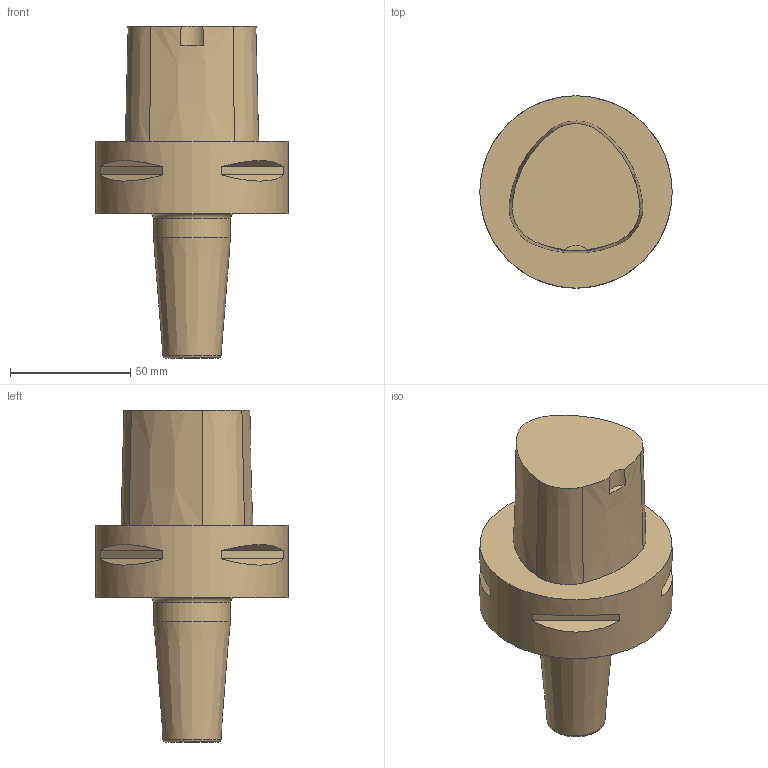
import cadquery as cq
import math

FLANGE_DIAMETER = 80
FLANGE_HEIGHT = 30

SHANK_LENGTH = 48
SHANK_LOBE_REACH = 29.5
SHANK_SIDE_REACH = 25.5
SHANK_LOBE_RADIUS = 17
FIRST_LOBE_ANGLE = 90
SHANK_TAPER_RATIO = 20

KEYWAY_RADIUS = 6.5
KEYWAY_FLOOR_REACH = 22.2
KEYWAY_LENGTH = 8

GROOVE_COUNT = 4
GROOVE_FIRST_ANGLE = 45
GROOVE_DROP = 12.2
GROOVE_FLOOR_REACH = 35.6
GROOVE_FLOOR_WIDTH = 3.45
GROOVE_FLANK_ANGLE = 30

NOSE_LENGTH = 60
NOSE_DIAMETER = 32
NOSE_TIP_DIAMETER = 24
NOSE_STRAIGHT_LENGTH = 10
NOSE_ROOT_FILLET = 2
NOSE_TIP_FILLET = 1
QUARTER_ARC_MIDDLE = 135

FLANGE_RADIUS = FLANGE_DIAMETER / 2
NOSE_RADIUS = NOSE_DIAMETER / 2
NOSE_TIP_RADIUS = NOSE_TIP_DIAMETER / 2
NOSE_TIP_Z = -FLANGE_HEIGHT - NOSE_LENGTH
LOBE_COUNT = 3
LOBE_PITCH = 360 / LOBE_COUNT


def polar(radius, degrees):
    angle = math.radians(degrees)
    return (radius * math.cos(angle), radius * math.sin(angle))


def lobe_joint():
    """Return the distance from the axis, and the angle off the lobe tip, where lobe and side arcs meet.

    Both centres lie on symmetry lines of the outline, 60 degrees apart as seen from the axis:
    the lobe centre toward the lobe tip, the side centre away from its side. The arcs are tangent
    when the distance between the centres equals the difference of the radii.
    """
    lobe_offset = SHANK_LOBE_REACH - SHANK_LOBE_RADIUS
    reach_gap = SHANK_SIDE_REACH - SHANK_LOBE_RADIUS
    side_offset = (lobe_offset**2 - reach_gap**2) / (2 * reach_gap - lobe_offset)
    side_radius = side_offset + SHANK_SIDE_REACH

    side_u, side_v = polar(side_offset, 180 - LOBE_PITCH / 2)
    center_distance = side_radius - SHANK_LOBE_RADIUS
    joint_u = side_u + (lobe_offset - side_u) * side_radius / center_distance
    joint_v = side_v * (1 - side_radius / center_distance)
    return math.hypot(joint_u, joint_v), abs(math.degrees(math.atan2(joint_v, joint_u)))


def make_shank():
    """Three-lobed tapered shank with one lobe pointing to +Y."""
    joint_reach, joint_angle = lobe_joint()
    lobe_angle = FIRST_LOBE_ANGLE
    outline = cq.Workplane("XY").moveTo(*polar(joint_reach, lobe_angle - joint_angle))
    for _ in range(LOBE_COUNT):
        next_lobe_angle = lobe_angle + LOBE_PITCH
        outline = outline.threePointArc(
            polar(SHANK_LOBE_REACH, lobe_angle),
            polar(joint_reach, lobe_angle + joint_angle),
        )
        outline = outline.threePointArc(
            polar(SHANK_SIDE_REACH, lobe_angle + LOBE_PITCH / 2),
            polar(joint_reach, next_lobe_angle - joint_angle),
        )
        lobe_angle = next_lobe_angle
    taper_angle = math.degrees(math.atan(1 / (2 * SHANK_TAPER_RATIO)))
    return outline.close().extrude(SHANK_LENGTH, taper=taper_angle)


def make_keyway():
    """Round-backed keyway cutter, open at the top of the -Y side."""
    return (
        cq.Workplane("XY", origin=(0, 0, SHANK_LENGTH - KEYWAY_LENGTH))
        .center(0, -KEYWAY_FLOOR_REACH - KEYWAY_RADIUS)
        .circle(KEYWAY_RADIUS)
        .extrude(KEYWAY_LENGTH)
    )


def make_groove(angle):
    """Straight trapezoidal groove cutter across the flange rim at the given angle."""
    depth = FLANGE_RADIUS - GROOVE_FLOOR_REACH
    mouth_width = GROOVE_FLOOR_WIDTH + 2 * depth * math.tan(math.radians(GROOVE_FLANK_ANGLE))
    return (
        cq.Workplane("XZ")
        .polyline([
            (GROOVE_FLOOR_REACH, -GROOVE_DROP - GROOVE_FLOOR_WIDTH / 2),
            (FLANGE_RADIUS, -GROOVE_DROP - mouth_width / 2),
            (FLANGE_RADIUS, -GROOVE_DROP + mouth_width / 2),
            (GROOVE_FLOOR_REACH, -GROOVE_DROP + GROOVE_FLOOR_WIDTH / 2),
        ])
        .close()
        .extrude(FLANGE_RADIUS, both=True)
        .rotate((0, 0, 0), (0, 0, 1), angle)
    )


def make_flange():
    flange = cq.Workplane("XY").circle(FLANGE_RADIUS).extrude(-FLANGE_HEIGHT)
    for index in range(GROOVE_COUNT):
        flange = flange.cut(make_groove(GROOVE_FIRST_ANGLE + index * 360 / GROOVE_COUNT))
    return flange


def make_nose():
    """Turned nose: a filleted root, a straight length, then a cone with a rounded tip."""
    root_z = -FLANGE_HEIGHT
    root_center = (NOSE_RADIUS + NOSE_ROOT_FILLET, root_z - NOSE_ROOT_FILLET)
    arc_x, arc_z = polar(NOSE_ROOT_FILLET, QUARTER_ARC_MIDDLE)
    nose = (
        cq.Workplane("XZ")
        .moveTo(0, root_z)
        .lineTo(NOSE_RADIUS + NOSE_ROOT_FILLET, root_z)
        .threePointArc(
            (root_center[0] + arc_x, root_center[1] + arc_z),
            (NOSE_RADIUS, root_z - NOSE_ROOT_FILLET),
        )
        .lineTo(NOSE_RADIUS, root_z - NOSE_STRAIGHT_LENGTH)
        .lineTo(NOSE_TIP_RADIUS, NOSE_TIP_Z)
        .lineTo(0, NOSE_TIP_Z)
        .close()
        .revolve(360, (0, 0, 0), (0, 1, 0))
    )
    return nose.faces("<Z").edges().fillet(NOSE_TIP_FILLET)


shank = make_shank().cut(make_keyway())
result = make_flange().union(shank).union(make_nose())